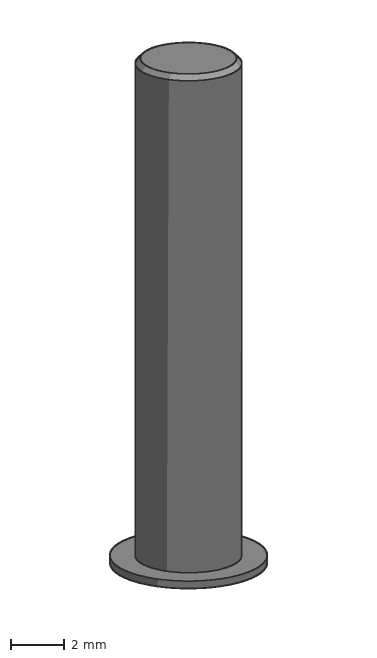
import cadquery as cq

total_height = 20.0
pin_diameter = 4.0
flange_diameter = 5.9
flange_thickness = 0.3
tip_chamfer = 0.2


def make_flange():
    """Thin round head at the base of the pin."""
    return cq.Workplane("XY").circle(flange_diameter / 2).extrude(flange_thickness)


def make_pin():
    """Full-height round shank with a chamfered tip."""
    shank = cq.Workplane("XY").circle(pin_diameter / 2).extrude(total_height)
    return shank.faces(">Z").edges().chamfer(tip_chamfer)


result = make_flange().union(make_pin())